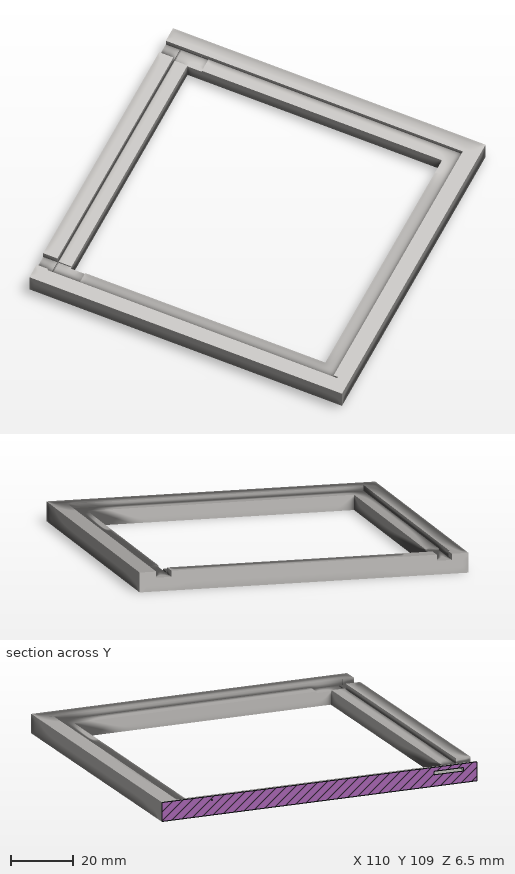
import cadquery as cq
length = 110.0
width = 109.0
height = 6.5

seat_border = 5.5
seat_depth = 1.5

channel_width = 5.0
channel_length = 15.0
channel_depth = 2.0

left_front_bar = 10.0
right_back_bar = seat_border + channel_width

relief_width = 0.5
relief_depth = 2.5
front_relief_end_gap = 4.0

undercut_start = seat_border - relief_width
undercut_width = 0.5
undercut_bottom_depth = 2.5


def block(x_start, x_end, y_start, y_end, depth, top_depth=0.0):
    """Box between two depths measured down from the top face."""
    return (
        cq.Workplane("XY")
        .box(x_end - x_start, y_end - y_start, depth - top_depth, centered=False)
        .translate((x_start, y_start, height - depth))
    )


def window():
    """Opening through the full height."""
    return block(
        left_front_bar,
        length - right_back_bar,
        left_front_bar,
        width - right_back_bar,
        height,
    )


def seat():
    """Shallow recess around the window."""
    return block(seat_border, length - seat_border, seat_border, width - seat_border, seat_depth)


def channel(y_start):
    """Channel open at the left face."""
    return block(0, channel_length, y_start, y_start + channel_width, channel_depth)


def left_relief():
    """Relief along the left wall of the seat, crossing both channels."""
    return block(
        seat_border - relief_width,
        seat_border,
        seat_border,
        width - seat_border,
        relief_depth,
    )


def front_relief():
    """Relief along the front wall of the seat, running past both of its corners."""
    return block(
        front_relief_end_gap,
        length - front_relief_end_gap,
        seat_border - relief_width,
        seat_border,
        relief_depth,
    )


def back_undercut():
    """Slot let into the back wall under the seat level, as long as the channel reaches."""
    back_wall = width - seat_border
    return block(
        undercut_start,
        channel_length,
        back_wall,
        back_wall + undercut_width,
        undercut_bottom_depth,
        seat_depth,
    )


frame = cq.Workplane("XY").box(length, width, height, centered=False)
frame = frame.cut(window()).cut(seat())

for channel_start in (seat_border, width - seat_border - channel_width):
    frame = frame.cut(channel(channel_start))

result = frame.cut(left_relief()).cut(front_relief()).cut(back_undercut())